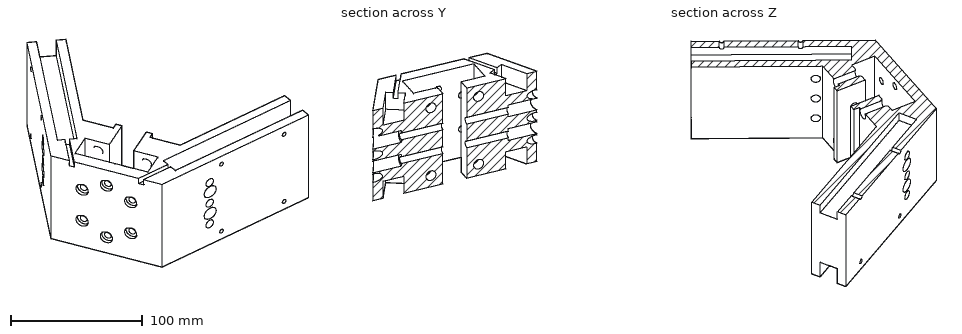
import cadquery as cq
import math

overall_width = 231.96
overall_depth = 136.6
height = 80.2
top_z = height / 2

arm_angle = 60.0
arm_thickness = 30.0
arm_cos = math.cos(math.radians(arm_angle))
arm_sin = math.sin(math.radians(arm_angle))
arm_length = (overall_depth - arm_thickness * arm_cos) / arm_sin
base_half_width = overall_width / 2 - arm_length * arm_cos

base_wall = 10.0
slot_half_width = 30.0
slot_top_y = 30.0
mouth_half_width = 10.0
shoulder_y = 50.0
lip_height = 5.0
lip_width = 5.0

pocket_width = 15.0
pocket_depth = 15.0
pocket_start = 18.5

groove_width = 3.5
groove_depth = 5.0

pin_diameter = 3.4
pin_stations = (57.0, 117.0)
pin_z = 32.5

arm_hole_diameter = 7.0
arm_hole_station = 45.7
arm_hole_pitch = 20.0

screw_diameter = 5.5
head_diameter = 10.0
base_head_depth = 3.0
base_centre_screw_z = 25.0
base_side_screw_x = 20.0
base_side_screw_z = 15.0

clamp_screw_y = (slot_top_y + shoulder_y) / 2
clamp_screw_spacing = 21.0
clamp_screw_offset = 0.45
clamp_seat_x = 45.0

jaw_hole_diameter = 8.0
jaw_mouth_radius = 2.0
jaw_hole_x = 20.0
jaw_hole_z = 30.0


def arm_point(along, across):
    """XY point on the right arm, measured from its outer base corner."""
    x = base_half_width + along * arm_cos - across * arm_sin
    y = along * arm_sin + across * arm_cos
    return (x, y)


def arm_face_plane():
    """Outer face of the right arm: local X runs along the arm, the normal points into the arm."""
    return cq.Plane(
        origin=(base_half_width, 0, 0),
        xDir=(arm_cos, arm_sin, 0),
        normal=(-arm_sin, arm_cos, 0),
    )


def both_sides(shape):
    """The shape together with its mirror image in the YZ plane."""
    return shape.union(shape.mirror("YZ"))


def arm_strip(start, end, centre_across, width, z_from, z_to):
    """Bar lying along the right arm between two distances and two heights."""
    near = centre_across - width / 2
    far = centre_across + width / 2
    corners = [
        arm_point(start, near),
        arm_point(end, near),
        arm_point(end, far),
        arm_point(start, far),
    ]
    return cq.Workplane("XY").workplane(offset=z_from).polyline(corners).close().extrude(z_to - z_from)


def half_body():
    shoulder_along = (shoulder_y - arm_thickness * arm_cos) / arm_sin
    outline = [
        (0, 0),
        (base_half_width, 0),
        arm_point(arm_length, 0),
        arm_point(arm_length, arm_thickness),
        arm_point(shoulder_along, arm_thickness),
        (mouth_half_width + lip_width, shoulder_y),
        (mouth_half_width + lip_width, shoulder_y + lip_height),
        (mouth_half_width, shoulder_y + lip_height),
        (mouth_half_width, slot_top_y),
        (slot_half_width, slot_top_y),
        (slot_half_width, base_wall),
        (0, base_wall),
    ]
    return cq.Workplane("XY").workplane(offset=-top_z).polyline(outline).close().extrude(height)


def pockets():
    middle = arm_thickness / 2
    top = arm_strip(pocket_start, arm_length, middle, pocket_width, top_z - pocket_depth, top_z)
    return top.union(top.mirror("XY"))


def groove():
    return arm_strip(-arm_thickness, pocket_start, arm_thickness / 2, groove_width, top_z - groove_depth, top_z)


def pin_holes():
    wall = (arm_thickness - pocket_width) / 2
    points = [(along, z) for along in pin_stations for z in (-pin_z, pin_z)]
    return cq.Workplane(arm_face_plane()).pushPoints(points).circle(pin_diameter / 2).extrude(wall)


def arm_holes():
    points = [(arm_hole_station, row * arm_hole_pitch) for row in (-1, 0, 1)]
    return cq.Workplane(arm_face_plane()).pushPoints(points).circle(arm_hole_diameter / 2).extrude(arm_thickness)


def rod_along_y(points, diameter, length, start_y=0.0):
    """Cylinders along +Y at the given (x, z) points."""
    plane = cq.Plane(origin=(0, start_y, 0), xDir=(-1, 0, 0), normal=(0, 1, 0))
    local_points = [(-x, z) for x, z in points]
    return cq.Workplane(plane).pushPoints(local_points).circle(diameter / 2).extrude(length)


def base_screw_holes():
    points = []
    for side in (-1, 1):
        points.append((0, side * base_centre_screw_z))
        points.append((base_side_screw_x, side * base_side_screw_z))
        points.append((-base_side_screw_x, side * base_side_screw_z))
    shanks = rod_along_y(points, screw_diameter, base_wall)
    heads = rod_along_y(points, head_diameter, base_head_depth)
    return shanks.union(heads)


def jaw_holes():
    points = [(jaw_hole_x, side * jaw_hole_z) for side in (-1, 1)]
    return rod_along_y(points, jaw_hole_diameter, shoulder_y - slot_top_y, slot_top_y)


def round_jaw_mouths(body):
    """Round the jaw hole edges on the faces that look into the T-slot."""
    reach = jaw_hole_diameter / 4
    for x in (-jaw_hole_x, jaw_hole_x):
        for z in (-jaw_hole_z, jaw_hole_z):
            low = (x - reach, slot_top_y - reach, z - reach)
            high = (x + reach, slot_top_y + reach, z + reach)
            mouth = cq.selectors.BoxSelector(low, high)
            body = body.edges(mouth).fillet(jaw_mouth_radius)
    return body


def clamp_screw_holes():
    points = [(clamp_screw_y, clamp_screw_offset + side * clamp_screw_spacing / 2) for side in (-1, 1)]
    reach = overall_width / 2
    shanks = cq.Workplane("YZ").pushPoints(points).circle(screw_diameter / 2).extrude(reach)
    heads = (
        cq.Workplane("YZ")
        .workplane(offset=clamp_seat_x)
        .pushPoints(points)
        .circle(head_diameter / 2)
        .extrude(reach - clamp_seat_x)
    )
    return shanks.union(heads)


result = both_sides(half_body())
for cutter in (pockets(), groove(), pin_holes(), arm_holes(), jaw_holes(), clamp_screw_holes()):
    result = result.cut(both_sides(cutter))
result = result.cut(base_screw_holes())
result = round_jaw_mouths(result)